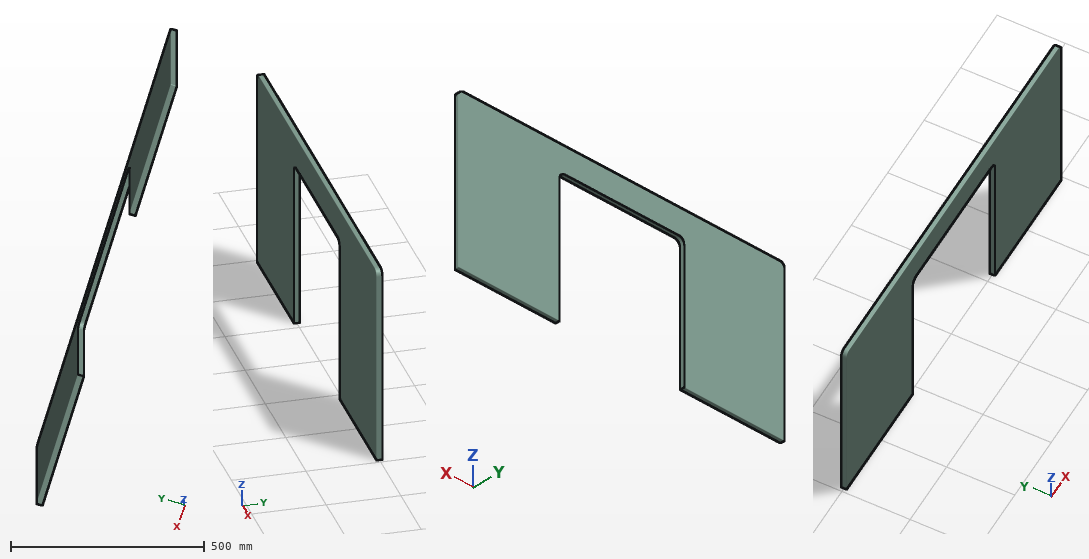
import cadquery as cq

length = 1180.0
height = 550.0
thickness = 17.0
top_corner_radius = 18.0
bottom_corner_radius = 2.0

opening_width = 451.0
opening_height = 460.0
opening_radius = 20.0

edge_radius = 1.7


def centred_plate(width, tall, top_radius):
    """Upright plate standing on Z = 0 with rounded top corners."""
    plate = cq.Workplane("XY").box(width, thickness, tall, centered=(True, True, False))
    return plate.edges("|Y and >Z").fillet(top_radius)


panel = centred_plate(length, height, top_corner_radius)
for side in ("<X", ">X"):
    panel = panel.faces(side).edges("|Y and <Z").fillet(bottom_corner_radius)
panel = panel.faces("<Y or >Y").edges().fillet(edge_radius)

opening = centred_plate(opening_width, opening_height, opening_radius)

result = panel.cut(opening)